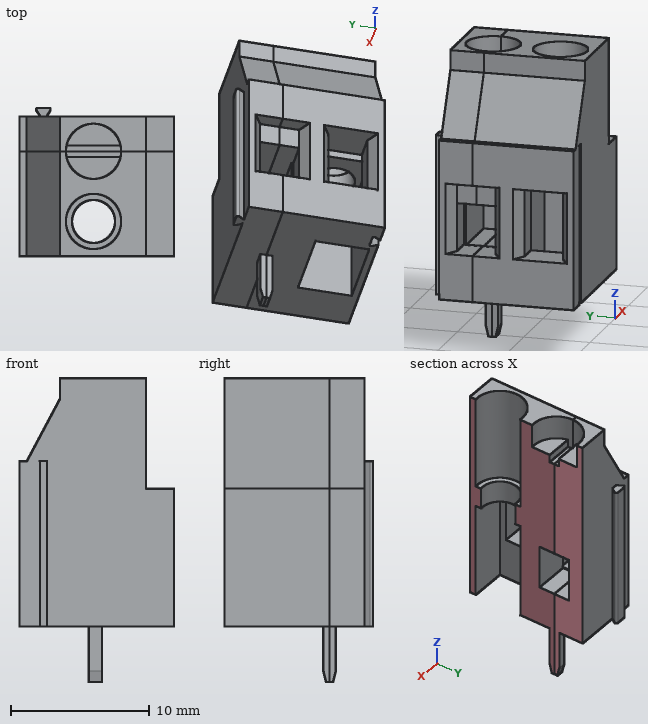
import cadquery as cq


depth = 11.2
height = 18.0
lip_height = 12.0
lip_width = 0.53
slope_top = 16.5
top_start = 2.93
top_end = 9.17
step_height = 10.0

pitch = 5.08
near_end = -7.61
far_end = 2.53
width = far_end - near_end
spare_pole_y = -pitch
hole_x = 5.37

hole_diameter = 4.0
neck_diameter = 3.1
screw_top = 16.0
slot_width = 0.81
slot_depth = 0.65

entry_bottom = 3.48
entry_top = 8.78
mouth_width = 4.05
entry_width = 2.9
taper_depth = 0.97

cavity_start = 2.66
cavity_end = 2 * hole_x - cavity_start
cavity_width = hole_diameter
cavity_top = 8.16
clamp_opening_width = 2.62
clamp_front = 2.77
clamp_opening_top = 7.08
clamp_floor_drop = 0.07
clamp_wall = (cavity_width - clamp_opening_width) / 2

pin_length = 4.0
pin_x = 5.5
pin_thickness = 0.97
pin_width = 0.92
pin_tip_width = 0.53
pin_taper = 0.81

rib_x = 1.74
rib_depth = 0.62
rib_root_width = 0.48
rib_outer_width = 1.28
rib_corner_radius = 0.13


def box(x_start, x_end, y_center, y_width, z_start, z_end):
    """Box given by its X range, its centre and width along Y, and its Z range."""
    size = (x_end - x_start, y_width, z_end - z_start)
    return (
        cq.Workplane("XY")
        .box(*size, centered=(False, True, False))
        .translate((x_start, y_center, z_start))
    )


def cylinder(diameter, y_center, z_start, z_end):
    """Vertical cylinder on the line of the screw holes."""
    return (
        cq.Workplane("XY", origin=(hole_x, y_center, z_start))
        .circle(diameter / 2)
        .extrude(z_end - z_start)
    )


def housing_block():
    profile = [
        (0, 0),
        (depth, 0),
        (depth, step_height),
        (top_end, step_height),
        (top_end, height),
        (top_start, height),
        (top_start, slope_top),
        (lip_width, lip_height),
        (0, lip_height),
    ]
    return cq.Workplane("XZ", origin=(0, far_end, 0)).polyline(profile).close().extrude(width)


def dovetail(root_y):
    """Upright dovetail with its root at root_y, widening toward +Y."""
    outer_y = root_y + rib_depth
    return (
        cq.Workplane("XY")
        .polyline([
            (rib_x - rib_root_width / 2, root_y),
            (rib_x + rib_root_width / 2, root_y),
            (rib_x + rib_outer_width / 2, outer_y),
            (rib_x - rib_outer_width / 2, outer_y),
        ])
        .close()
        .extrude(lip_height)
        .edges("|Z and >Y")
        .fillet(rib_corner_radius)
    )


def wire_entry(y_center, inner_end, inner_top):
    """Wire entry: a tapered mouth, then a straight passage that ends at inner_end."""
    plan = [
        (0, y_center - mouth_width / 2),
        (taper_depth, y_center - entry_width / 2),
        (taper_depth, y_center + entry_width / 2),
        (0, y_center + mouth_width / 2),
    ]
    mouth = (
        cq.Workplane("XY", origin=(0, 0, entry_bottom))
        .polyline(plan)
        .close()
        .extrude(entry_top - entry_bottom)
    )
    passage = box(taper_depth, inner_end, y_center, entry_width, entry_bottom, inner_top)
    return mouth.union(passage)


def equipped_pole_cuts():
    """Space above the screw, the screw slot and the opening in the clamp."""
    access = cylinder(hole_diameter, 0, screw_top, height)
    slot_bar = box(0, depth, 0, slot_width, screw_top - slot_depth, screw_top)
    slot = slot_bar.intersect(cylinder(hole_diameter, 0, 0, height))
    opening = box(
        clamp_front,
        cavity_end - clamp_wall,
        0,
        clamp_opening_width,
        entry_bottom - clamp_floor_drop,
        clamp_opening_top,
    )
    return [access, slot, opening]


def spare_pole_cuts():
    """Stepped hole that opens into a clamp cavity with an open bottom."""
    access = cylinder(hole_diameter, spare_pole_y, step_height, height)
    neck = cylinder(neck_diameter, spare_pole_y, 0, height)
    cavity = box(cavity_start, cavity_end, spare_pole_y, cavity_width, 0, cavity_top)
    return [access, neck, cavity]


def solder_pin():
    """Flat pin below the base, with a tip tapered along Y."""
    profile = [
        (-pin_width / 2, 0),
        (-pin_width / 2, pin_taper - pin_length),
        (-pin_tip_width / 2, -pin_length),
        (pin_tip_width / 2, -pin_length),
        (pin_width / 2, pin_taper - pin_length),
        (pin_width / 2, 0),
    ]
    pin_start = pin_x - pin_thickness / 2
    return cq.Workplane("YZ", origin=(pin_start, 0, 0)).polyline(profile).close().extrude(pin_thickness)


def terminal_block():
    """The complete block before it is parted."""
    block = housing_block().union(dovetail(far_end))
    cuts = [dovetail(near_end), wire_entry(0, clamp_front, clamp_opening_top)]
    cuts.append(wire_entry(spare_pole_y, cavity_start, entry_top))
    cuts += equipped_pole_cuts() + spare_pole_cuts()
    for cut in cuts:
        block = block.cut(cut)
    return block.union(solder_pin())


def section(y_start, y_end):
    """The solid part of the block between two Y positions."""
    span = box(0, depth, (y_start + y_end) / 2, y_end - y_start, -pin_length, height)
    return terminal_block().intersect(span, clean=False).solids()


end_section = section(0, far_end + rib_depth)
main_section = section(near_end, 0)

result = cq.Compound.makeCompound([end_section.val(), main_section.val()])